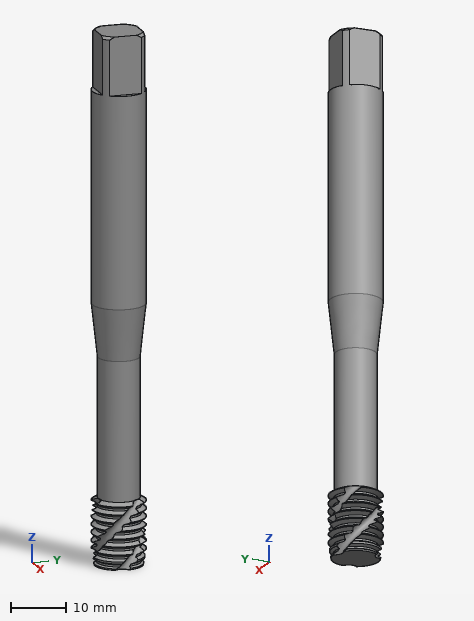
import cadquery as cq

total_length = 100.0

shank_radius = 5.0
square_width = 8.0
square_length = 11.0
square_chamfer = 0.5
cutter_margin = 1.0
taper_top = 49.0
taper_length = 10.0
neck_radius = 3.9

head_length = 12.6
pitch = 1.5
crest_radius = shank_radius
crest_width = 0.1
root_width = pitch / 4
thread_depth = 0.9
root_radius = crest_radius - thread_depth
top_crest_height = 12.0
ridge_count = 9
lead_length = 3.0
lead_tip_radius = 4.5
flute_count = 3
flute_lead = 27.0
flute_radius = 1.6
flute_center_radius = 5.3
first_flute_angle = 110.0


def make_shank():
    """Solid of revolution from the neck to the drive end, with the end cut to a square."""
    profile = [
        (0, head_length),
        (neck_radius, head_length),
        (neck_radius, taper_top - taper_length),
        (shank_radius, taper_top),
        (shank_radius, total_length - square_chamfer),
        (shank_radius - square_chamfer, total_length),
        (0, total_length),
    ]
    body = cq.Workplane("YZ").polyline(profile).close().revolve(360, (0, 0), (0, 1))
    square_cutter = (
        cq.Workplane("XY")
        .workplane(offset=total_length - square_length)
        .circle(shank_radius + cutter_margin)
        .rect(square_width, square_width)
        .extrude(square_length)
    )
    return body.cut(square_cutter)


def thread_profile():
    """Half section of the head: trapezoidal ridges one pitch apart, the last one reaching below the tip."""
    points = [(0, head_length), (neck_radius, head_length)]
    ridge_half_width = (pitch - root_width) / 2
    for ridge in range(ridge_count):
        crest = top_crest_height - ridge * pitch
        if ridge > 0:
            points.append((root_radius, crest + ridge_half_width))
        points.append((crest_radius, crest + crest_width / 2))
        points.append((crest_radius, crest - crest_width / 2))
        points.append((root_radius, crest - ridge_half_width))
    points.append((0, crest - ridge_half_width))
    return points


def make_lead_envelope():
    """Outer limit of the head, tapered over the lead at the tip."""
    outline = [
        (0, 0),
        (lead_tip_radius, 0),
        (crest_radius, lead_length),
        (crest_radius, head_length),
        (0, head_length),
    ]
    return cq.Workplane("XZ").polyline(outline).close().revolve(360, (0, 0), (0, 1))


def make_flute(angle):
    """Right-hand helical groove running the full length of the head."""
    twist = 360 * head_length / flute_lead
    return (
        cq.Workplane("XY")
        .pushPoints([(flute_center_radius, 0)])
        .circle(flute_radius)
        .twistExtrude(head_length, twist)
        .rotate((0, 0, 0), (0, 0, 1), angle)
    )


def make_head():
    """Ridged cylinder tapered at the tip, with the flutes cut through the ridges."""
    head = cq.Workplane("XZ").polyline(thread_profile()).close().revolve(360, (0, 0), (0, 1))
    head = head.intersect(make_lead_envelope())
    for index in range(flute_count):
        head = head.cut(make_flute(first_flute_angle + index * 360 / flute_count))
    return head


shank = make_shank()
head = make_head()
result = cq.Compound.makeCompound([shank.solids().val(), head.solids().val()])